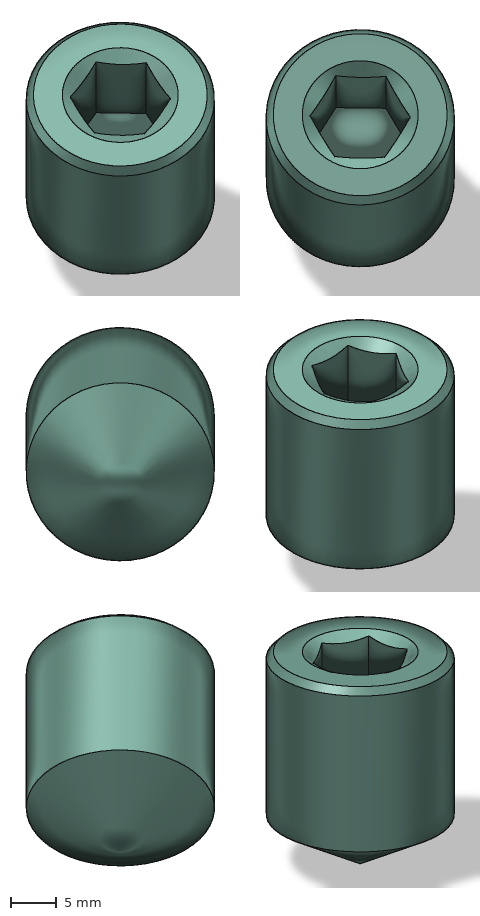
import cadquery as cq
import math

total_length = 25.4
body_diameter = 20.62
point_slope = 30.0
rim_chamfer = 0.8
hex_across_flats = 9.5
socket_depth = 10.15
countersink_diameter = 12.7
countersink_slope = 30.0

body_radius = body_diameter / 2
point_height = body_radius * math.tan(math.radians(point_slope))
hex_across_corners = hex_across_flats / math.cos(math.radians(30))
countersink_radius = countersink_diameter / 2
countersink_depth = countersink_radius * math.tan(math.radians(countersink_slope))


def make_body():
    """Revolved cylinder with a conical point at the origin and a chamfered top rim."""
    return (
        cq.Workplane("XZ")
        .moveTo(0, 0)
        .lineTo(body_radius, point_height)
        .lineTo(body_radius, total_length - rim_chamfer)
        .lineTo(body_radius - rim_chamfer, total_length)
        .lineTo(0, total_length)
        .close()
        .revolve(360, (0, 0, 0), (0, 1, 0))
    )


def make_hex_socket():
    """Blind hexagonal socket with two corners on the Y axis."""
    return (
        cq.Workplane("XY")
        .workplane(offset=total_length - socket_depth)
        .transformed(rotate=(0, 0, 90))
        .polygon(6, hex_across_corners)
        .extrude(socket_depth)
    )


def make_countersink():
    """Shallow cone that opens the mouth of the socket."""
    return (
        cq.Workplane("XZ")
        .moveTo(0, total_length - countersink_depth)
        .lineTo(countersink_radius, total_length)
        .lineTo(0, total_length)
        .close()
        .revolve(360, (0, 0, 0), (0, 1, 0))
    )


result = make_body().cut(make_hex_socket()).cut(make_countersink())